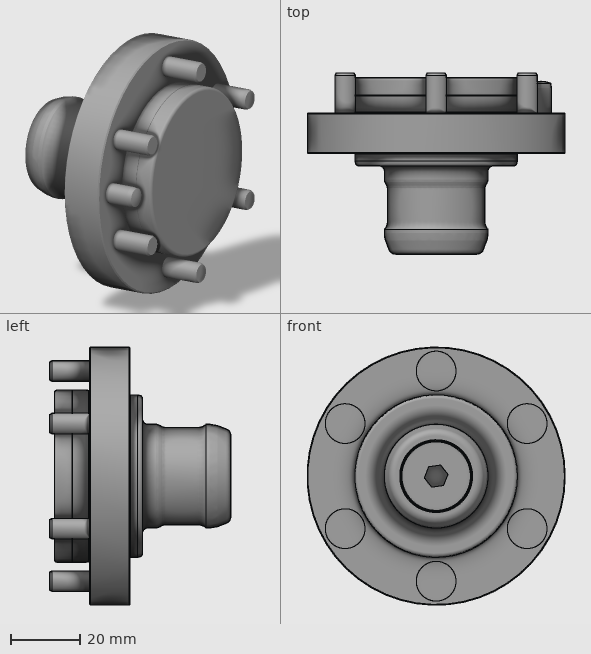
import cadquery as cq
import math


flange_radius = 37.4
flange_thickness = 11.75
flange_front_chamfer = 0.2
flange_rear_chamfer = 0.4

boss_radius = 25.0
boss_height = 10.2
boss_rear_fillet = 0.9
boss_groove_height = 4.85
boss_groove_width = 0.2
boss_groove_depth = 0.15
boss_root_chamfer = 0.2
boss_lead_height = 1.1
boss_lead_taper = 0.15

collar_radius = 23.55
collar_height = 3.7
collar_root_chamfer = 0.2
collar_front_fillet = 1.0
collar_lead_height = 0.45
collar_lead_taper = 0.15

nose_end = 29.25
bead_radius = 15.0
neck_radius = 14.1
root_fillet = 1.5
rear_bead_end = 8.0
neck_start = 9.7
rear_bead_fillet = 1.5
neck_end = 19.8
front_bead_start = 22.1
front_bead_end = 24.3
tip_radius = 13.2
front_bead_fillet = 6.3
tip_fillet = 2.1

bore_radius = 10.25
bore_chamfer = 0.3
plug_setback = 0.6
plug_chamfer = 0.3
socket_across_flats = 6.0
socket_depth = 6.0
socket_angle = 8.5

bolt_circle_radius = 30.45
screw_count = 6
first_screw_angle = 30
screw_radius = 3.0
screw_length = 11.5
screw_tip_height = 0.75
screw_tip_inset = 0.4
head_radius = 5.75
head_setback = 0.1
dowel_angle = 0
dowel_radius = 3.0
dowel_length = 9.1
dowel_lead_height = 1.4
dowel_lead_inset = 0.2
dowel_dome_height = 0.6


def turn(profile):
    """Revolve a closed (radius, y) profile about the Y axis."""
    return profile.close().revolve(360, (0, 0, 0), (0, 1, 0))


def cylinder(radius, start, end):
    """Cylinder on the Y axis between two y positions."""
    return cq.Workplane("XZ", origin=(0, start, 0)).circle(radius).extrude(start - end)


def round_edge(body, y, radius):
    """Fillet the circular edge whose centre lies on the axis at y."""
    return body.edges(cq.NearestToPointSelector((0, y, 0))).fillet(radius)


def on_bolt_circle(body, angle):
    """Move a body from the axis to the bolt circle at an angle from +X toward +Z."""
    x = bolt_circle_radius * math.cos(math.radians(angle))
    z = bolt_circle_radius * math.sin(math.radians(angle))
    return body.translate((x, 0, z))


def make_flange():
    flange = cylinder(flange_radius, 0, flange_thickness)
    flange = flange.faces("<Y").chamfer(flange_front_chamfer)
    return flange.faces(">Y").chamfer(flange_rear_chamfer)


def make_boss():
    base = flange_thickness
    end = base + boss_height
    groove_start = base + boss_groove_height
    groove_end = groove_start + boss_groove_width
    lead_radius = boss_radius - boss_lead_taper
    groove_floor = boss_radius - boss_groove_depth
    profile = (
        cq.Workplane("XY")
        .moveTo(0, base)
        .lineTo(lead_radius - boss_root_chamfer, base)
        .lineTo(lead_radius, base + boss_root_chamfer)
        .lineTo(boss_radius, base + boss_lead_height)
        .lineTo(boss_radius, groove_start)
        .lineTo(groove_floor, groove_start)
        .lineTo(groove_floor, groove_end)
        .lineTo(boss_radius, groove_end)
        .lineTo(boss_radius, end)
        .lineTo(0, end)
    )
    return turn(profile).faces(">Y").edges().fillet(boss_rear_fillet)


def make_collar():
    lead_end = collar_front_fillet - collar_height
    lead_radius = collar_radius - collar_lead_taper
    profile = (
        cq.Workplane("XY")
        .lineTo(collar_radius - collar_root_chamfer, 0)
        .lineTo(collar_radius, -collar_root_chamfer)
        .lineTo(collar_radius, lead_end + collar_lead_height)
        .lineTo(lead_radius, lead_end)
        .radiusArc((lead_radius - collar_front_fillet, -collar_height), collar_front_fillet)
        .lineTo(0, -collar_height)
    )
    return turn(profile)


def make_nose():
    profile = (
        cq.Workplane("XY")
        .moveTo(0, -collar_height)
        .lineTo(bead_radius + root_fillet, -collar_height)
        .radiusArc((bead_radius, -collar_height - root_fillet), -root_fillet)
        .lineTo(bead_radius, -rear_bead_end)
        .lineTo(neck_radius, -neck_start)
        .lineTo(neck_radius, -neck_end)
        .tangentArcPoint((bead_radius, -front_bead_start), relative=False)
        .lineTo(bead_radius, -front_bead_end)
        .lineTo(tip_radius, -nose_end)
        .lineTo(0, -nose_end)
    )
    nose = turn(profile)
    nose = round_edge(nose, -rear_bead_end, rear_bead_fillet)
    nose = round_edge(nose, -neck_start, rear_bead_fillet)
    nose = round_edge(nose, -nose_end, tip_fillet)
    return round_edge(nose, -front_bead_end, front_bead_fillet)


def make_plug_recess():
    """Space in front of the plug, with the chamfers of the bore and the plug rim."""
    plug_face = plug_setback - nose_end
    profile = (
        cq.Workplane("XY")
        .moveTo(0, -nose_end)
        .lineTo(bore_radius + bore_chamfer, -nose_end)
        .lineTo(bore_radius, bore_chamfer - nose_end)
        .lineTo(bore_radius, plug_face + plug_chamfer)
        .lineTo(bore_radius - plug_chamfer, plug_face)
        .lineTo(0, plug_face)
    )
    return turn(profile)


def make_socket():
    plug_face = plug_setback - nose_end
    corner_diameter = socket_across_flats / math.cos(math.pi / 6)
    socket_plane = cq.Workplane("XZ", origin=(0, plug_face, 0))
    socket = socket_plane.polygon(6, corner_diameter).extrude(-socket_depth)
    return socket.rotate((0, 0, 0), (0, 1, 0), -socket_angle)


def make_screw_shank():
    end = flange_thickness + screw_length
    shank = cylinder(screw_radius, flange_thickness, end)
    return shank.faces(">Y").chamfer(screw_tip_height, screw_tip_inset)


def make_head_recess():
    return cylinder(head_radius, 0, head_setback)


def make_dowel():
    dome_top = flange_thickness + dowel_length
    dome_base = dome_top - dowel_dome_height
    dome_edge = dowel_radius - dowel_lead_inset
    dome_radius = (dome_edge**2 + dowel_dome_height**2) / (2 * dowel_dome_height)
    profile = (
        cq.Workplane("XY")
        .moveTo(0, flange_thickness)
        .lineTo(dowel_radius, flange_thickness)
        .lineTo(dowel_radius, dome_base - dowel_lead_height)
        .lineTo(dome_edge, dome_base)
        .radiusArc((0, dome_top), -dome_radius)
    )
    return turn(profile)


result = make_flange().union(make_boss()).union(make_collar()).union(make_nose())
result = result.cut(make_plug_recess()).cut(make_socket())

for index in range(screw_count):
    screw_angle = first_screw_angle + index * 360 / screw_count
    result = result.union(on_bolt_circle(make_screw_shank(), screw_angle))
    result = result.cut(on_bolt_circle(make_head_recess(), screw_angle))

result = result.union(on_bolt_circle(make_dowel(), dowel_angle))